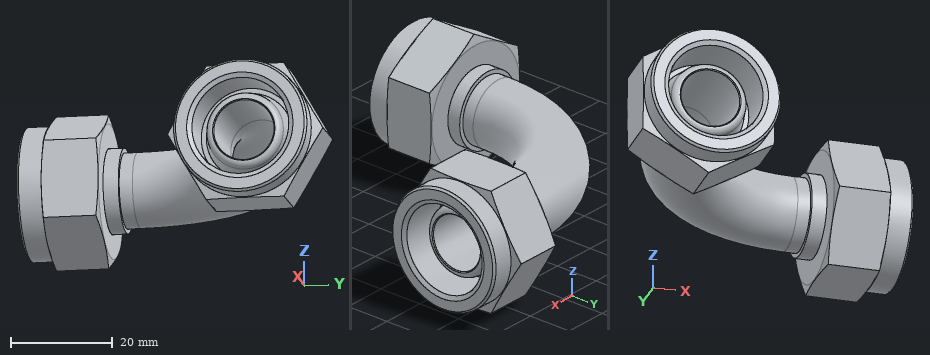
import cadquery as cq
import math

bend_radius = 30.0
tube_radius = 7.5
bore_radius = 6.0
straight_length = 2.65

collar_radius = 8.5
collar_exposed = 3.05
flange_thickness = 2.7
cone_base_radius = 8.7
cone_tip_radius = 7.65
cone_half_angle = 12.0
bore_chamfer = 0.2

nut_length = 16.5
hex_length = 11.45
hex_corner_diameter = 31.2
hex_chamfer_radius = 13.35
hex_chamfer_depth = 0.5
skirt_radius = 13.35
skirt_chamfer = 0.5
thread_radius = 9.7
mouth_chamfer_width = 0.95
mouth_chamfer_depth = 0.55
nose_recess = 4.15

collar_start = straight_length
nut_start = collar_start + collar_exposed
hex_end = nut_start + hex_length
nut_end = nut_start + nut_length
nose_tip = nut_end - nose_recess
nose_rim_radius = bore_radius + bore_chamfer
nose_round = cone_tip_radius - nose_rim_radius
cone_tip = nose_tip - nose_round
cone_length = (cone_base_radius - cone_tip_radius) / math.tan(math.radians(cone_half_angle))
flange_front = cone_tip - cone_length
flange_back = flange_front - flange_thickness

hex_corner_radius = hex_corner_diameter / 2

arm_planes = [
    cq.Plane(origin=(0, -bend_radius, 0), xDir=(0, 0, 1), normal=(0, -1, 0)),
    cq.Plane(origin=(bend_radius, 0, 0), xDir=(0, 1, 0), normal=(1, 0, 0)),
]


def turned(profile):
    """Revolve a closed (radius, station) profile about the local Z axis."""
    return profile.close().revolve(360, (0, 0, 0), (0, 1, 0))


def bend(radius):
    """Quarter-torus bar of the given section radius, joining the two arms."""
    return (
        cq.Workplane(arm_planes[0])
        .circle(radius)
        .sweep(
            cq.Workplane("XY")
            .moveTo(0, -bend_radius)
            .radiusArc((bend_radius, 0), bend_radius)
        )
    )


def connection_end():
    """Straight tube, collar, flange and rounded sealing cone along local Z."""
    round_offset = nose_round * math.sqrt(0.5)
    profile = (
        cq.Workplane("XZ")
        .moveTo(bore_radius, 0)
        .lineTo(tube_radius, 0)
        .lineTo(tube_radius, collar_start)
        .lineTo(collar_radius, collar_start)
        .lineTo(collar_radius, flange_back)
        .lineTo(thread_radius, flange_back)
        .lineTo(thread_radius, flange_front)
        .lineTo(cone_base_radius, flange_front)
        .lineTo(cone_tip_radius, cone_tip)
        .threePointArc(
            (nose_rim_radius + round_offset, cone_tip + round_offset),
            (nose_rim_radius, nose_tip),
        )
        .lineTo(bore_radius, nose_tip - bore_chamfer)
    )
    return turned(profile)


def elbow():
    """Bent tube with a connection end on each arm."""
    body = bend(tube_radius).cut(bend(bore_radius))
    for plane in arm_planes:
        body = body.union(connection_end().val().moved(plane.location))
    return body


def nut():
    """Hexagonal union nut along local Z, mouth outwards."""
    hexagon = (
        cq.Workplane("XY", origin=(0, 0, nut_start))
        .polygon(6, hex_corner_diameter)
        .extrude(hex_length)
    )
    corner_envelope = turned(
        cq.Workplane("XZ")
        .moveTo(0, nut_start)
        .lineTo(hex_chamfer_radius, nut_start)
        .lineTo(hex_corner_radius, nut_start + hex_chamfer_depth)
        .lineTo(hex_corner_radius, hex_end - hex_chamfer_depth)
        .lineTo(hex_chamfer_radius, hex_end)
        .lineTo(0, hex_end)
    )
    skirt = (
        cq.Workplane("XY", origin=(0, 0, hex_end))
        .circle(skirt_radius)
        .extrude(nut_end - hex_end)
        .faces(">Z")
        .chamfer(skirt_chamfer)
    )
    cavity = turned(
        cq.Workplane("XZ")
        .moveTo(0, nut_start)
        .lineTo(collar_radius, nut_start)
        .lineTo(collar_radius, flange_back)
        .lineTo(thread_radius, flange_back)
        .lineTo(thread_radius, nut_end - mouth_chamfer_depth)
        .lineTo(thread_radius + mouth_chamfer_width, nut_end)
        .lineTo(0, nut_end)
    )
    return hexagon.intersect(corner_envelope).union(skirt).cut(cavity)


nuts = [nut().val().moved(plane.location) for plane in arm_planes]

result = cq.Compound.makeCompound([elbow().val(), *nuts])